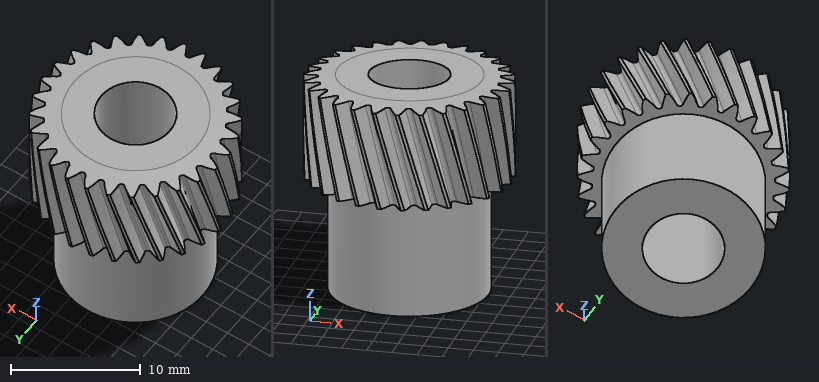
import cadquery as cq
import math

total_height = 17.6
hub_height = 9.45
gear_height = total_height - hub_height

bore_diameter = 6.35
hub_diameter = 12.65
tip_radius = 8.205
flat_face_radius = 5.74
crown_drop = 0.3

tooth_count = 28
pitch_radius = 7.67
helix_angle = 15.15
flank_radius = 7.6
flank_root_radius = 7.21
gap_at_tip = 1.56
gap_at_flank = 0.86
gap_at_root = 0.49

pitch_step = 2 * math.pi / tooth_count
twist = math.degrees(gear_height * math.tan(math.radians(helix_angle)) / pitch_radius)


def polar(radius, angle):
    """Point at a radius and an angle in radians."""
    return (radius * math.cos(angle), radius * math.sin(angle))


def gear_profile():
    """Closed tooth outline on the gear's lower face, with a gap centred on +X after twisting."""
    tip_half = gap_at_tip / (2 * tip_radius)
    flank_half = gap_at_flank / (2 * flank_radius)
    root_half = gap_at_root / (2 * flank_root_radius)
    start_angle = math.radians(twist)

    outline = cq.Workplane("XY", origin=(0, 0, hub_height))
    outline = outline.moveTo(*polar(tip_radius, start_angle - tip_half))
    for tooth in range(tooth_count):
        gap = start_angle + tooth * pitch_step
        next_gap = gap + pitch_step
        outline = (
            outline
            .threePointArc(polar(flank_radius, gap - flank_half), polar(flank_root_radius, gap - root_half))
            .tangentArcPoint(polar(flank_root_radius, gap + root_half), relative=False)
            .threePointArc(polar(flank_radius, gap + flank_half), polar(tip_radius, gap + tip_half))
            .threePointArc(polar(tip_radius, gap + pitch_step / 2), polar(tip_radius, next_gap - tip_half))
        )
    return outline.close()


def crowned_blank():
    """Turned gear blank whose top face is flat in the middle and slopes down to the tips."""
    half_section = [
        (0, hub_height),
        (tip_radius, hub_height),
        (tip_radius, total_height - crown_drop),
        (flat_face_radius, total_height),
        (0, total_height),
    ]
    return cq.Workplane("XZ").polyline(half_section).close().revolve(360, (0, 0, 0), (0, 1, 0))


def helical_gear():
    return gear_profile().twistExtrude(gear_height, -twist).intersect(crowned_blank())


hub = cq.Workplane("XY").circle(hub_diameter / 2).extrude(hub_height)
bore = cq.Workplane("XY").circle(bore_diameter / 2).extrude(total_height)

result = helical_gear().union(hub).cut(bore)